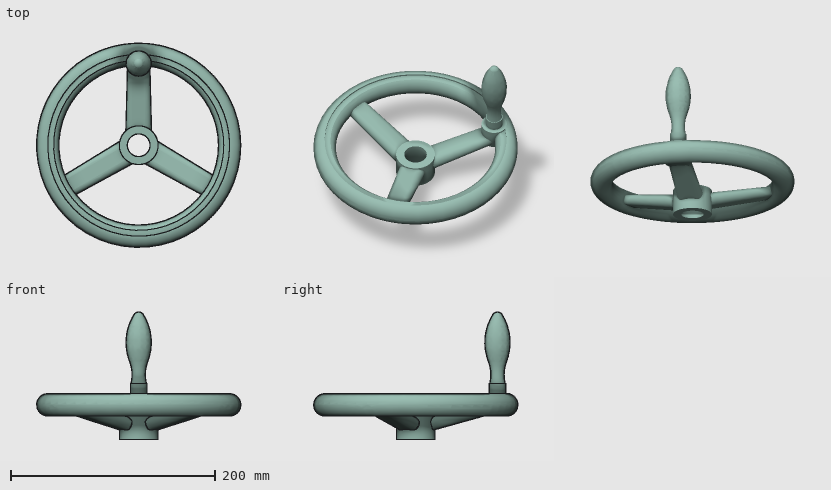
import cadquery as cq
import math

RIM_OUTER_RADIUS = 100.0
RIM_SECTION_RADIUS = 11.0
RIM_HEIGHT = 34.0
RIM_CENTRE_RADIUS = RIM_OUTER_RADIUS - RIM_SECTION_RADIUS
RIM_STEP_DEPTH = 1.5
RIM_TOP = RIM_HEIGHT + RIM_SECTION_RADIUS

HUB_RADIUS = 19.0
HUB_HEIGHT = 24.5
BORE_RADIUS = 11.0

SPOKE_COUNT = 3
SPOKE_FLAT_WIDTH = 12.5
SPOKE_INNER_REACH = 15.0
SPOKE_INNER_HEIGHT = 15.5
SPOKE_INNER_THICKNESS = 13.0
SPOKE_OUTER_THICKNESS = 9.2
FIRST_SPOKE_ANGLE = 90.0

HANDLE_OFFSET = 80.0
BOSS_RADIUS = 12.5
BOSS_BOTTOM = 25.0
COLLAR_RADIUS = 8.2
COLLAR_TOP = 55.0
NECK_START_RADIUS = 7.5
NECK_RADIUS = 6.5
NECK_HEIGHT = 64.5
GRIP_START_RADIUS = 8.8
GRIP_START_HEIGHT = 76.0
GRIP_RADIUS = 12.5
GRIP_HEIGHT = 98.0
TIP_RADIUS = 4.2
TIP_START_HEIGHT = 123.0
HANDLE_TOP = 125.0


def make_rim():
    """Revolve a round section and trim the inner half of its top to a lower flat."""
    ring = cq.Workplane("XY").add(
        cq.Solid.makeTorus(RIM_CENTRE_RADIUS, RIM_SECTION_RADIUS, cq.Vector(0, 0, RIM_HEIGHT))
    )
    step = (
        cq.Workplane("XY", origin=(0, 0, RIM_TOP - RIM_STEP_DEPTH))
        .circle(RIM_CENTRE_RADIUS)
        .extrude(2 * RIM_STEP_DEPTH)
    )
    return ring.cut(step)


def make_spoke(angle):
    """Loft a slot section from inside the hub to the centre of the rim section."""
    run = RIM_CENTRE_RADIUS - SPOKE_INNER_REACH
    rise = RIM_HEIGHT - SPOKE_INNER_HEIGHT
    inner_plane = cq.Plane(
        origin=(SPOKE_INNER_REACH, 0, SPOKE_INNER_HEIGHT), xDir=(0, 1, 0), normal=(run, 0, rise)
    )
    spoke = (
        cq.Workplane(inner_plane)
        .slot2D(SPOKE_FLAT_WIDTH + SPOKE_INNER_THICKNESS, SPOKE_INNER_THICKNESS)
        .workplane(offset=math.hypot(run, rise))
        .slot2D(SPOKE_FLAT_WIDTH + SPOKE_OUTER_THICKNESS, SPOKE_OUTER_THICKNESS)
        .loft(ruled=True)
    )
    return spoke.rotate((0, 0, 0), (0, 0, 1), angle)


def make_boss():
    return (
        cq.Workplane("XY", origin=(0, HANDLE_OFFSET, BOSS_BOTTOM))
        .circle(BOSS_RADIUS)
        .extrude(RIM_TOP - BOSS_BOTTOM)
    )


def make_handle():
    """Revolve a collar, a waisted neck, a bulging grip and a domed tip."""
    neck = (NECK_RADIUS, NECK_HEIGHT)
    grip_start = (GRIP_START_RADIUS, GRIP_START_HEIGHT)
    grip_widest = (GRIP_RADIUS, GRIP_HEIGHT)
    tip_start = (TIP_RADIUS, TIP_START_HEIGHT)
    dome_rise = HANDLE_TOP - TIP_START_HEIGHT
    dome_radius = (TIP_RADIUS**2 + dome_rise**2) / (2 * dome_rise)
    return (
        cq.Workplane("XZ", origin=(0, HANDLE_OFFSET, 0))
        .moveTo(0, RIM_HEIGHT)
        .lineTo(COLLAR_RADIUS, RIM_HEIGHT)
        .lineTo(COLLAR_RADIUS, COLLAR_TOP)
        .lineTo(NECK_START_RADIUS, COLLAR_TOP)
        .threePointArc(neck, grip_start)
        .threePointArc(grip_widest, tip_start)
        .radiusArc((0, HANDLE_TOP), -dome_radius)
        .close()
        .revolve(360, (0, 0, 0), (0, 1, 0))
    )


def make_handwheel():
    wheel = make_rim().union(cq.Workplane("XY").circle(HUB_RADIUS).extrude(HUB_HEIGHT))
    for index in range(SPOKE_COUNT):
        wheel = wheel.union(make_spoke(FIRST_SPOKE_ANGLE + index * 360 / SPOKE_COUNT))
    wheel = wheel.union(make_boss()).union(make_handle())
    bore = cq.Workplane("XY").circle(BORE_RADIUS).extrude(HUB_HEIGHT)
    return wheel.cut(bore)


result = make_handwheel()